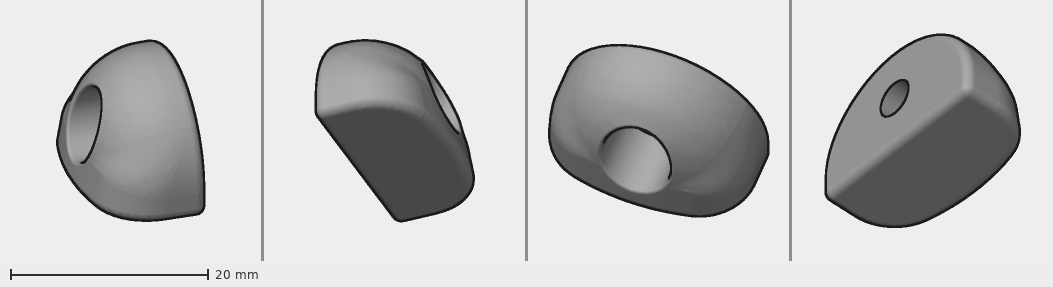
import cadquery as cq
import math

width = 22.0
height = 13.33
depth = 11.14

side_height = 2.7
shoulder_radius = 10.3

front_lean = math.radians(10)
front_bow_radius = 28.0

crown_round = 8.6
side_round = 6.0
rim_round = 1.0

hole_height = 6.4
bore_radius = 2.1
counterbore_radius = 3.75
seat_thickness = 4.0
mouth_round = 0.3

half_width = width / 2


def arch_block():
    """Arched outline with straight lower sides, extruded well past the front face."""
    shoulder_x = half_width - shoulder_radius
    rise = height - side_height
    crown_radius = (shoulder_x**2 + rise**2 - shoulder_radius**2) / (2 * (rise - shoulder_radius))
    crown_z = height - crown_radius
    joint_angle = math.atan2(side_height - crown_z, shoulder_x)
    joint_x = crown_radius * math.cos(joint_angle)
    joint_z = crown_z + crown_radius * math.sin(joint_angle)
    mid_x = shoulder_x + shoulder_radius * math.cos(joint_angle / 2)
    mid_z = side_height + shoulder_radius * math.sin(joint_angle / 2)
    return (
        cq.Workplane("XZ")
        .moveTo(-half_width, 0)
        .lineTo(half_width, 0)
        .lineTo(half_width, side_height)
        .threePointArc((mid_x, mid_z), (joint_x, joint_z))
        .threePointArc((0, height), (-joint_x, joint_z))
        .threePointArc((-mid_x, mid_z), (-half_width, side_height))
        .close()
        .extrude(2 * depth)
    )


def front_bow():
    """Large leaning cylinder whose wall is the bowed front face."""
    lost_to_rounding = rim_round * (math.tan(front_lean) + 1 / math.cos(front_lean) - 1)
    return (
        cq.Workplane("XY")
        .circle(front_bow_radius)
        .extrude(4 * height, both=True)
        .translate((0, front_bow_radius, 0))
        .rotate((0, 0, 0), (1, 0, 0), -math.degrees(front_lean))
        .translate((0, -depth - lost_to_rounding, 0))
    )


def round_front(block):
    """Round the arched front edge, growing from the side radius to the crown radius."""
    front_edges = block.faces("<Y").edges("not(<Z)")
    fillet = cq.occ_impl.shapes.BRepFilletAPI_MakeFillet(block.val().wrapped)
    fillet.Add(front_edges.val().wrapped)
    arch_contour = fillet.NbContours()
    for joint in front_edges.vertices().vals():
        joint_round = crown_round if joint.Z > height / 2 else side_round
        fillet.SetRadius(joint_round, arch_contour, joint.wrapped)
    return cq.Workplane(cq.Shape.cast(fillet.Shape()))


def screw_hole():
    """Stepped cutter: through bore plus a counterbore opening at the front."""
    axis_plane = cq.Workplane("XZ", origin=(0, 0, hole_height))
    bore = axis_plane.circle(bore_radius).extrude(depth)
    counterbore = axis_plane.workplane(offset=seat_thickness).circle(counterbore_radius).extrude(depth)
    return bore.union(counterbore)


def round_mouth(drilled):
    """Round the edge where the counterbore breaks through the curved front."""
    inside_counterbore = (0, -(seat_thickness + depth) / 2, hole_height)
    wall = drilled.faces(cq.selectors.NearestToPointSelector(inside_counterbore))
    return wall.edges("%BSPLINE").fillet(mouth_round)


body = round_front(arch_block().intersect(front_bow()))
body = body.faces(">Y or <Z").edges().fillet(rim_round)
body = body.cut(screw_hole())
body = round_mouth(body)

result = cq.Workplane(body.solids().val())